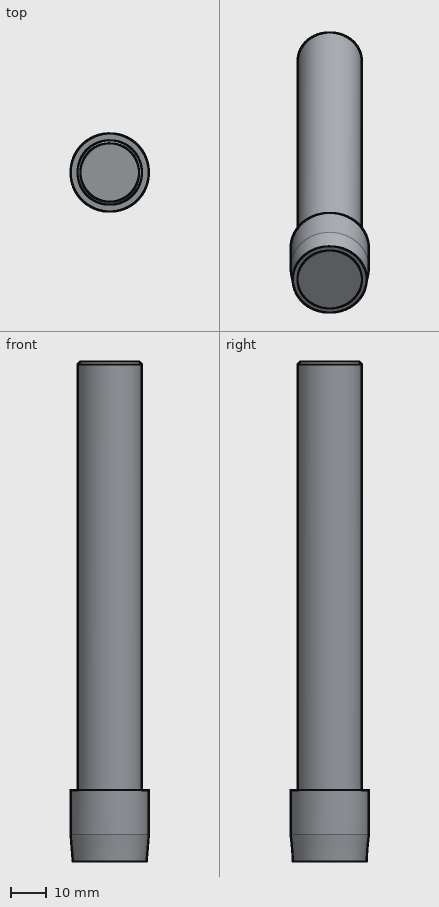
import cadquery as cq

total_length = 140.0
pin_diameter = 18.0
pin_chamfer = 0.8
sleeve_diameter = 22.0
sleeve_length = 20.0
taper_length = 7.5
taper_end_diameter = 20.7


def make_pin():
    """Straight round pin with a chamfered top, running the whole length."""
    return (
        cq.Workplane("XY")
        .circle(pin_diameter / 2)
        .extrude(total_length)
        .faces(">Z")
        .chamfer(pin_chamfer)
    )


def make_sleeve():
    """Sleeve around the pin's lower end, tapering toward its bottom face."""
    bore_radius = pin_diameter / 2
    outer_radius = sleeve_diameter / 2
    return (
        cq.Workplane("XZ")
        .moveTo(bore_radius, 0)
        .lineTo(taper_end_diameter / 2, 0)
        .lineTo(outer_radius, taper_length)
        .lineTo(outer_radius, sleeve_length)
        .lineTo(bore_radius, sleeve_length)
        .close()
        .revolve(360, (0, 0, 0), (0, 1, 0))
    )


pin = make_pin()
sleeve = make_sleeve()

result = cq.Compound.makeCompound([pin.val(), sleeve.val()])